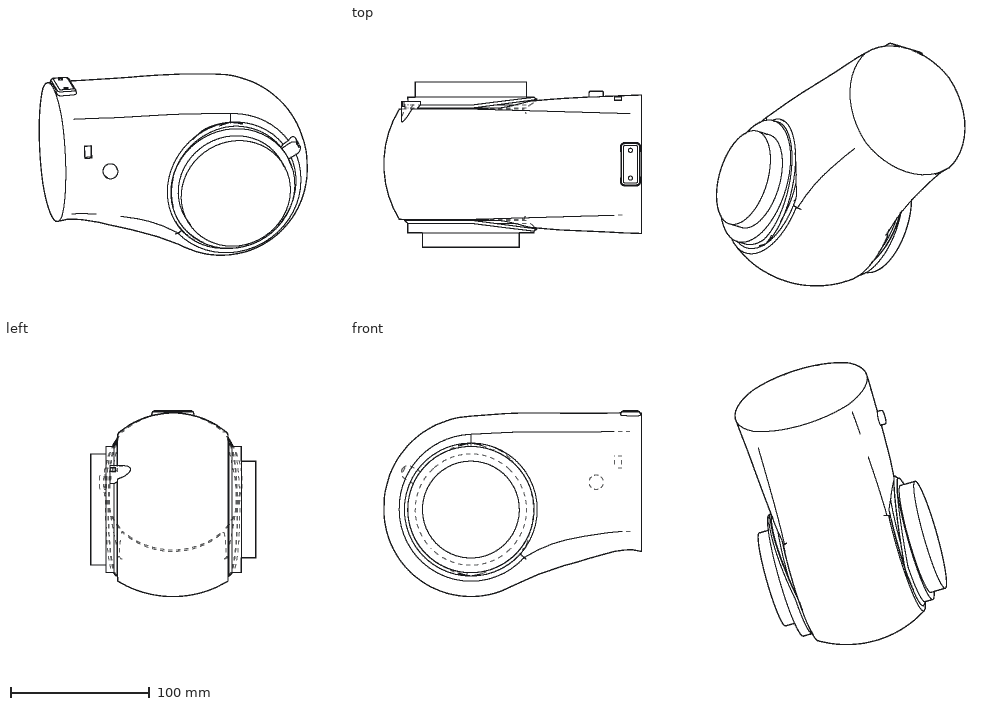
import cadquery as cq
import math


tube_radius = 50.0
tube_axis_z = 19.7
tube_end_x = 123.0
tube_top_z = tube_axis_z + tube_radius
tube_bottom_z = tube_axis_z - tube_radius
tube_seam_offset = 36.3

head_radius = 62.8
head_sweep = 138.0
head_sweep_start = 42.0
head_seam_radius = 51.7
head_seam_half_width = 39.8
head_side_half_width = 41.0
head_top_radius = 67.5
head_top_seam_radius = 54.3
swell_power = 1.2
hub_radius = 22.3

flange_radius = 45.5
flange_half_width = 48.3
front_flange_extra = 1.1
collar_radius = 47.5
collar_half_width = 42.5
collar_height = 1.7
collar_sink = 0.3
collar_tilt = 7.5
rear_stub_radius = 40.2
rear_stub_y = 59.3
front_stub_radius = 35.0
front_stub_y = 59.9

plate_length = 31.6
plate_width = 15.2
plate_x = 115.0
plate_top_z = 71.4
plate_height = 4.5
plate_corner = 3.3
plate_bevel = 1.1
plate_draft = 1.3
screw_hole_radius = 1.5
screw_hole_spacing = 20.0
screw_hole_depth = 1.1

button_x = 90.4
button_radius = 5.2
button_top_y = 52.8
button_rounding = 1.3
slot_x = 106.2
slot_z = 34.4
slot_width = 5.0
slot_height = 8.5
slot_floor_y = 46.0
slot_clearance = 1.9

lug_radius = 5.0
lug_distance = 52.5
lug_angle = 30.5
lug_inner_y = 14.9
lug_outer_y = 45.4
lug_web_length = 14.9
lug_notch_width = 3.3
lug_notch_depth = 1.3
lug_notch_length = 3.9


def disc(radius, y_start, y_end, x=0.0, z=0.0):
    """Cylinder along Y."""
    axis = cq.Vector(0, 1, 0)
    return cq.Workplane(cq.Solid.makeCylinder(radius, y_end - y_start, cq.Vector(x, y_start, z), axis))


def loft(wires):
    """Smooth solid through closed sections."""
    return cq.Workplane(cq.Solid.makeLoft(wires))


def make_head():
    """Lower part of the joint head: a crowned rim turned about the joint axis."""
    profile = (
        cq.Workplane("XY")
        .moveTo(0, -head_side_half_width)
        .lineTo(hub_radius, -head_side_half_width)
        .lineTo(head_seam_radius, -head_seam_half_width)
        .threePointArc((head_radius, 0), (head_seam_radius, head_seam_half_width))
        .lineTo(hub_radius, head_side_half_width)
        .lineTo(0, head_side_half_width)
        .close()
    )
    turned = profile.revolve(head_sweep, (0, 0, 0), (0, 1, 0))
    return turned.rotate((0, 0, 0), (0, 1, 0), head_sweep_start)


def swell_section(angle, share):
    """Crowned section in the half-plane at an angle about Y; share runs from 0 to 1."""
    growth = share ** swell_power
    outer = head_radius + growth * (head_top_radius - head_radius)
    seam = head_seam_radius + growth * (head_top_seam_radius - head_seam_radius)

    def point(radius, y):
        return cq.Vector(radius * math.cos(angle), y, radius * math.sin(angle))

    inner_front = point(hub_radius, -head_side_half_width)
    inner_rear = point(hub_radius, head_side_half_width)
    seam_front = point(seam, -head_seam_half_width)
    seam_rear = point(seam, head_seam_half_width)
    return cq.Wire.assembleEdges([
        cq.Edge.makeLine(inner_front, seam_front),
        cq.Edge.makeThreePointArc(seam_front, point(outer, 0), seam_rear),
        cq.Edge.makeLine(seam_rear, inner_rear),
        cq.Edge.makeLine(inner_rear, inner_front),
    ])


def make_head_swell():
    """Upper left quarter of the head, growing from the barrel radius to the tube top."""
    steps = 4
    sections = []
    for step in range(steps + 1):
        share = step / steps
        sections.append(swell_section(math.pi - share * math.pi / 2, share))
    return loft(sections)


def tube_section(x, top, upper_seam, lower_seam, bottom, side):
    """Closed section across the tube: crowned top and bottom, bulged sides."""
    seam_y = head_seam_half_width + x / tube_end_x * (tube_seam_offset - head_seam_half_width)
    middle = (upper_seam + lower_seam) / 2
    front_top = cq.Vector(x, -seam_y, upper_seam)
    rear_top = cq.Vector(x, seam_y, upper_seam)
    front_bottom = cq.Vector(x, -seam_y, lower_seam)
    rear_bottom = cq.Vector(x, seam_y, lower_seam)
    return cq.Wire.assembleEdges([
        cq.Edge.makeThreePointArc(front_top, cq.Vector(x, 0, top), rear_top),
        cq.Edge.makeThreePointArc(rear_top, cq.Vector(x, side, middle), rear_bottom),
        cq.Edge.makeThreePointArc(rear_bottom, cq.Vector(x, 0, bottom), front_bottom),
        cq.Edge.makeThreePointArc(front_bottom, cq.Vector(x, -side, middle), front_top),
    ])


def make_tube():
    """Neck from the head to the round tube end."""
    upper_seam_end = tube_axis_z + tube_seam_offset
    lower_seam_end = tube_axis_z - tube_seam_offset
    stations = [
        (0, head_top_radius, head_top_seam_radius, -50.2, -60.5, head_side_half_width),
        (18.5, 69.2, 55.2, -47.2, -59.9, 42.2),
        (37.2, tube_top_z, upper_seam_end, -35.3, -51.9, 44.8),
        (55.8, tube_top_z, upper_seam_end, -25.8, -44.5, 46.8),
        (89.2, tube_top_z, upper_seam_end, -18.0, -34.2, 48.7),
        (tube_end_x, tube_top_z, upper_seam_end, lower_seam_end, tube_bottom_z, tube_radius),
    ]
    return loft([tube_section(*station) for station in stations])


def make_collar(direction, tilt):
    """Cone round the flange foot; direction is the sign of Y, tilt lifts its +X side outwards."""
    spread = collar_radius - flange_radius
    overall_height = collar_height * (1 + collar_sink)
    collar = cq.Workplane(
        cq.Solid.makeCone(
            collar_radius + spread * collar_sink,
            flange_radius,
            overall_height,
            cq.Vector(0, direction * (collar_half_width - overall_height), 0),
            cq.Vector(0, direction, 0),
        )
    )
    pivot_y = direction * collar_half_width
    return collar.rotate((0, pivot_y, 0), (0, pivot_y, 1), direction * tilt)


def make_joint_side(direction, flange_y, stub_radius, stub_y):
    """Collars, flange and stub on one side; direction is the sign of Y."""
    flange = disc(flange_radius, *sorted((0, direction * flange_y)))
    stub = disc(stub_radius, *sorted((0, direction * stub_y)))
    collars = make_collar(direction, 0).union(make_collar(direction, collar_tilt))
    return collars.union(flange).union(stub)


def make_cover_plate():
    """Plate with drafted walls, a bevelled top edge and two screw holes."""
    draft = math.degrees(math.atan(plate_draft / plate_height))
    return (
        cq.Workplane("XY", origin=(plate_x, 0, plate_top_z - plate_height))
        .sketch()
        .rect(plate_width, plate_length)
        .vertices().fillet(plate_corner)
        .finalize()
        .extrude(plate_height, taper=draft)
        .faces(">Z").chamfer(plate_bevel)
        .faces(">Z").workplane(origin=(plate_x, 0, plate_top_z))
        .pushPoints([(0, -screw_hole_spacing / 2), (0, screw_hole_spacing / 2)])
        .hole(2 * screw_hole_radius, screw_hole_depth)
    )


def make_button():
    """Round button with a softened top edge."""
    button = disc(button_radius, head_side_half_width, button_top_y, button_x, tube_axis_z)
    return button.faces(">Y").edges().fillet(button_rounding)


def make_slot():
    """Cutter for the shallow slot beside the button."""
    slot_depth = tube_radius - slot_floor_y + slot_clearance
    cutter = cq.Workplane("XY").box(slot_width, slot_depth, slot_height, centered=(True, False, True))
    return cutter.translate((slot_x, slot_floor_y, slot_z))


def make_lug():
    """Round stop joined to the flange by a radial web, with a notch in its outer end."""
    lug_length = lug_outer_y - lug_inner_y
    lug = disc(lug_radius, lug_inner_y, lug_outer_y, -lug_distance)
    web = cq.Workplane("XY").box(
        lug_web_length, lug_length, 2 * lug_radius, centered=(False, False, True)
    ).translate((-lug_distance, lug_inner_y, 0))
    notch = cq.Workplane("XY").box(
        lug_notch_depth, lug_notch_length, lug_notch_width, centered=(False, False, True)
    ).translate((-lug_distance - lug_radius, lug_outer_y - lug_notch_length, 0))
    return lug.union(web).cut(notch).rotate((0, 0, 0), (0, 1, 0), lug_angle)


result = (
    make_head()
    .union(make_head_swell())
    .union(make_tube())
    .union(make_joint_side(1, flange_half_width, rear_stub_radius, rear_stub_y))
    .union(make_joint_side(-1, flange_half_width + front_flange_extra, front_stub_radius, front_stub_y))
    .union(make_cover_plate())
    .union(make_button())
    .union(make_lug())
    .cut(make_slot())
)